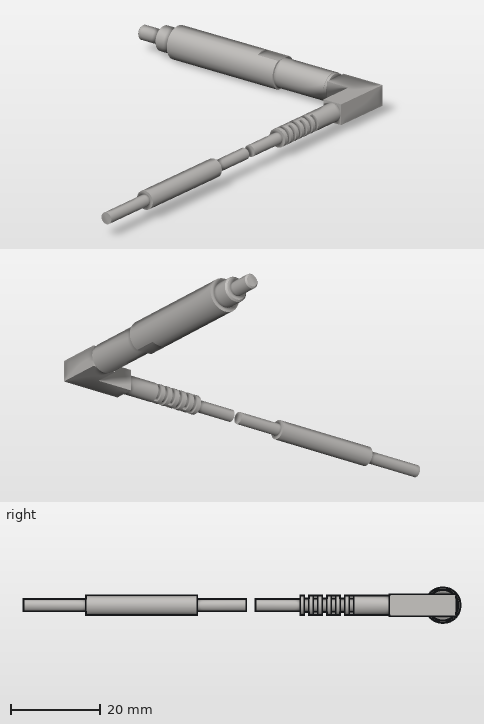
import cadquery as cq


tip_dia = 3.5
tip_chamfer = 0.35
collar_dia = 6.0
collar_chamfer = 0.4
collar_start = 5.8
barrel_dia = 8.0
barrel_start = 10.2
barrel_end = 40.3
rear_dia = 7.0
neck_dia = 6.8
neck_length = 0.7
neck_end = 55.1
rear_end = neck_end - neck_length
flat_length = 5.8

elbow_end = 66.18
elbow_height = 5.0
elbow_arm_width = 6.0
elbow_leg_width = 5.0
elbow_leg_end = -12.0

relief_dia = 4.45
relief_plain_length = 8.0
relief_core_dia = 3.1
groove_count = 6
groove_width = 1.0
rib_width = 1.0
web_width = 1.0

cable_dia = 2.8
cable_axis_x = 63.75
near_cable_end = -42.0
far_cable_start = -44.0
sleeve_dia = 4.5
sleeve_start = -55.0
sleeve_end = -80.0
far_cable_end = -93.99


def rod_along_x(diameter, start, end):
    return cq.Workplane("YZ", origin=(start, 0, 0)).circle(diameter / 2).extrude(end - start)


def rod_along_cable(diameter, start, end):
    """Round bar on the cable axis, from Y = start towards -Y."""
    return cq.Workplane("XZ", origin=(cable_axis_x, start, 0)).circle(diameter / 2).extrude(start - end)


def make_plug():
    tip = rod_along_x(tip_dia, 0, collar_start).faces("<X").chamfer(tip_chamfer)
    collar = rod_along_x(collar_dia, collar_start, barrel_start).faces("<X").chamfer(collar_chamfer)
    barrel = rod_along_x(barrel_dia, barrel_start, barrel_end)
    rear = rod_along_x(rear_dia, barrel_end, rear_end)
    neck = rod_along_x(neck_dia, rear_end, neck_end)

    flat_depth = (barrel_dia - rear_dia) / 2
    for side in (1, -1):
        flat_cutter = cq.Workplane().box(flat_length, barrel_dia, flat_depth).translate(
            (barrel_end - flat_length / 2, 0, side * (rear_dia + flat_depth) / 2)
        )
        barrel = barrel.cut(flat_cutter)
    return tip.union(collar).union(barrel).union(rear).union(neck)


def make_elbow():
    half_arm = elbow_arm_width / 2
    leg_inner_x = elbow_end - elbow_leg_width
    outline = [
        (neck_end, half_arm),
        (elbow_end, half_arm),
        (elbow_end, elbow_leg_end),
        (leg_inner_x, elbow_leg_end),
        (leg_inner_x, -half_arm),
        (neck_end, -half_arm),
    ]
    return cq.Workplane("XY").polyline(outline).close().extrude(elbow_height / 2, both=True)


def make_strain_relief():
    groove_zone_start = elbow_leg_end - relief_plain_length
    pitch = groove_width + rib_width
    relief_end = groove_zone_start - groove_count * pitch
    relief = rod_along_cable(relief_dia, elbow_leg_end, relief_end)
    for index in range(groove_count):
        start = groove_zone_start - index * pitch
        end = start - groove_width
        core = rod_along_cable(relief_core_dia, start, end)
        groove = rod_along_cable(relief_dia, start, end).cut(core)
        if index % 2 == 0:
            web = cq.Workplane().box(web_width, groove_width, relief_dia).translate(
                (cable_axis_x, (start + end) / 2, 0)
            )
            groove = groove.cut(web)
        relief = relief.cut(groove)
    return relief


def make_plug_assembly():
    cable = rod_along_cable(cable_dia, elbow_leg_end, near_cable_end)
    return make_plug().union(make_elbow()).union(make_strain_relief()).union(cable)


def make_far_cable():
    cable = rod_along_cable(cable_dia, far_cable_start, far_cable_end)
    sleeve = rod_along_cable(sleeve_dia, sleeve_start, sleeve_end)
    return cable.union(sleeve)


plug_assembly = make_plug_assembly()
far_cable = make_far_cable()

result = cq.Compound.makeCompound([plug_assembly.val(), far_cable.val()])